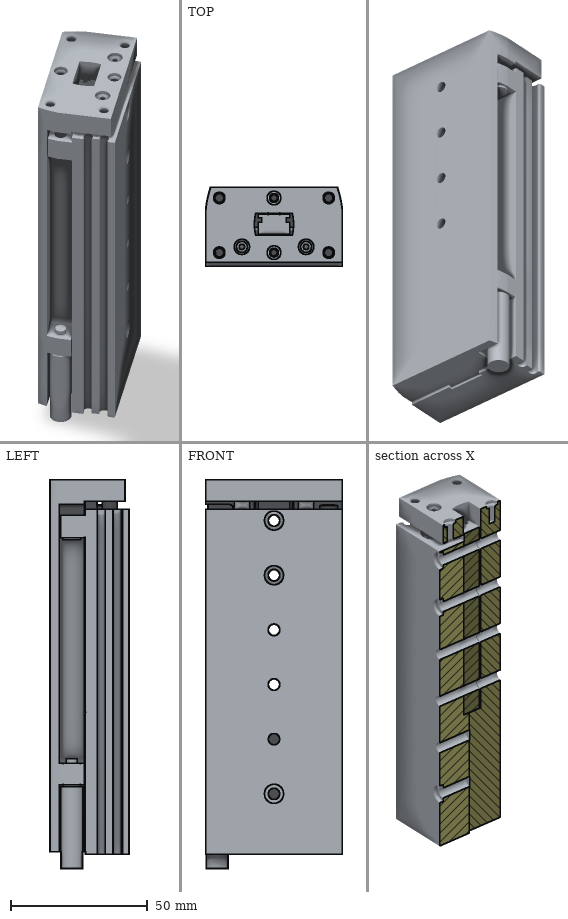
import cadquery as cq
import math


width = 50.0
half_width = width / 2
depth = 29.0
housing_height = 126.4
housing_depth = 16.0
plate_thickness = 8.0
plate_gap = 2.8
plate_bottom = housing_height + plate_gap
table_top = plate_bottom + plate_thickness
table_front = 16.4
table_bottom = 1.0
plate_front = 1.5
running_gap = table_front - housing_depth

corner_start = 21.0
corner_radius = 36.0
back_half_width = 23.2

recess_inner_x = -15.0
recess_back = 25.5
recess_top_fillet = 1.3
recess_bottom_fillet = 1.9
recess_top = table_top - 9.1
table_lug_top = 33.3
table_lug_bottom = 25.6
housing_lug_top = housing_height - 2.2
housing_lug_bottom = housing_height - 10.4
lug_hole_diameter = 4.5
lug_hole_depth = 5.0
stop_x = -20.8
stop_y = 21.0
bumper_diameter = 6.6
bumper_height = 0.8
absorber_diameter = 8.0
absorber_neck_diameter = 6.1
absorber_tip_diameter = 4.0
absorber_tip_height = 1.7
absorber_shoulder_gap = 0.8
absorber_bottom = -5.2

rail_half_width = 5.8
rail_front = 11.7
rail_back = 19.0
rail_bottom = 52.0
rail_top = plate_bottom + 0.5
ball_groove_depth = 1.4
ball_groove_front = 16.1
ball_groove_back = 17.7
channel_half_width = 7.2
channel_end_half_width = 6.7
channel_front = 11.3
channel_back = 19.4
relief_floor = 14.3

mount_pitch = 20.0
mount_count = 6
open_mount_count = 4
first_mount_z = housing_height - 4.2
mount_diameter = 4.13
counterbore_diameter = 7.0
counterbore_depth = 1.5
counterbored_mounts = (0, 1, 5)

slot_centres = (4.3, 10.3)
slot_opening = 2.9
slot_lip = 0.9
slot_radius = 1.75
slot_lip_chamfer = 0.6
slot_land_recess = 1.0

stop_screw_x = 20.0
stop_screw_y = 12.0
stop_screw_diameter = 6.6
stop_screw_height = 1.6
stop_screw_dome_height = 0.35
stop_screw_dome_run = 1.6

rod_x = 11.75
rod_y = 7.1
rod_diameter = 5.6
rod_depth_in_housing = 40.0
rod_neck_diameter = 4.0
rod_counterbore_depth = 1.2
rod_socket_diameter = 2.0
rod_socket_depth = 1.5
rod_recess_diameter = 10.0
rod_recess_depth = 4.0

plate_hole_rows = (5.0, 25.0)
corner_hole_x = 20.0
corner_hole_diameter = 3.24
corner_hole_mouth = 4.13
centre_hole_diameter = 2.46
centre_hole_mouth = 3.24
centre_counterbore_diameter = 5.0
centre_counterbore_depth = 1.2


def box(x_min, x_max, y_min, y_max, z_min, z_max):
    """Axis-aligned block between two opposite corners."""
    block = cq.Workplane("XY").box(x_max - x_min, y_max - y_min, z_max - z_min, centered=False)
    return block.translate((x_min, y_min, z_min))


def post(x, y, diameter, z_min, z_max):
    """Vertical cylinder between two heights."""
    return cq.Workplane("XY", origin=(x, y, z_min)).circle(diameter / 2).extrude(z_max - z_min)


def rounded_outline(y_front, z_min, z_max):
    """Block of full width whose back corners curve in towards the back face."""
    return (
        cq.Workplane("XY", origin=(0, 0, z_min))
        .moveTo(-half_width, y_front)
        .lineTo(half_width, y_front)
        .lineTo(half_width, corner_start)
        .radiusArc((back_half_width, depth), -corner_radius)
        .lineTo(-back_half_width, depth)
        .radiusArc((-half_width, corner_start), -corner_radius)
        .close()
        .extrude(z_max - z_min)
    )


def mount_holes(indices, diameter, y_min, y_max):
    """Cylinders along Y at the chosen mounting positions."""
    points = [(0, first_mount_z - i * mount_pitch) for i in indices]
    plane = cq.Workplane("XZ", origin=(0, y_min, 0))
    return plane.pushPoints(points).circle(diameter / 2).extrude(y_min - y_max)


def threaded_hole(x, y, diameter, mouth_diameter, z_mouth, z_end):
    """Vertical hole with a 45 degree countersink at its mouth."""
    countersink = (
        cq.Workplane("XY", origin=(x, y, z_mouth))
        .circle(mouth_diameter / 2)
        .workplane(offset=-(mouth_diameter - diameter) / 2)
        .circle(diameter / 2)
        .loft()
    )
    return post(x, y, diameter, z_end, z_mouth).union(countersink)


def make_rail():
    rail = box(-rail_half_width, rail_half_width, rail_front, rail_back, rail_bottom, rail_top)
    for x in (-rail_half_width, rail_half_width - ball_groove_depth):
        rail = rail.cut(
            box(x, x + ball_groove_depth, ball_groove_front, ball_groove_back, rail_bottom, rail_top)
        )
    return rail.cut(mount_holes(range(open_mount_count), mount_diameter, rail_front, rail_back))


def sensor_slot(y):
    """Round slot along Z that opens through the left side, with one chamfered lip."""
    half_opening = slot_opening / 2
    centre_x = -half_width + slot_lip + math.sqrt(slot_radius**2 - half_opening**2)
    bore = post(centre_x, y, 2 * slot_radius, 0, housing_height)
    opening = box(-half_width, centre_x, y - half_opening, y + half_opening, 0, housing_height)
    lip = (
        cq.Workplane("XY")
        .moveTo(-half_width, y - half_opening)
        .lineTo(-half_width, y - half_opening - slot_lip_chamfer)
        .lineTo(-half_width + slot_lip_chamfer, y - half_opening)
        .close()
        .extrude(housing_height)
    )
    return bore.union(opening).union(lip)


def tongue_space(z_min, z_max):
    """Shallow central strip at the back of the housing, filled by the table below the rail."""
    return box(-channel_half_width, channel_half_width, relief_floor, table_front, z_min, z_max)


def make_housing():
    housing = box(-half_width, half_width, 0, housing_depth, 0, housing_height)
    lug = rounded_outline(housing_depth, housing_lug_bottom, housing_lug_top).intersect(
        box(-half_width, recess_inner_x - running_gap, 0, recess_back - running_gap, 0, table_top)
    )
    bumper = post(
        stop_x, stop_y, bumper_diameter, housing_lug_bottom - bumper_height, housing_lug_bottom
    )
    stop_screw = (
        post(
            stop_screw_x,
            stop_screw_y,
            stop_screw_diameter,
            housing_height,
            housing_height + stop_screw_height,
        )
        .faces(">Z")
        .chamfer(stop_screw_dome_height, stop_screw_dome_run)
    )
    lug_hole_floor = housing_lug_top - lug_hole_depth
    housing = housing.union(lug).union(bumper).union(stop_screw)
    housing = housing.cut(post(stop_x, stop_y, lug_hole_diameter, lug_hole_floor, housing_lug_top))

    land_x = -half_width + slot_land_recess
    front_slot_y, back_slot_y = slot_centres
    housing = housing.cut(box(-half_width, land_x, front_slot_y, back_slot_y, 0, housing_height))
    for y in slot_centres:
        housing = housing.cut(sensor_slot(y))
    housing = housing.cut(tongue_space(0, housing_height))
    housing = housing.cut(
        box(-rail_half_width, rail_half_width, rail_front, relief_floor, rail_bottom, housing_height)
    )
    housing = housing.cut(mount_holes(range(mount_count), mount_diameter, 0, housing_depth))
    housing = housing.cut(mount_holes(counterbored_mounts, counterbore_diameter, 0, counterbore_depth))
    for x in (-rod_x, rod_x):
        housing = housing.cut(
            post(x, rod_y, rod_diameter, housing_height - rod_depth_in_housing, housing_height)
        )
        housing = housing.cut(
            post(x, rod_y, rod_recess_diameter, housing_height - rod_recess_depth, housing_height)
        )
    return housing


def side_recess(z_min, z_max):
    """Pocket in the left side of the table, open to the front."""
    return box(-half_width, recess_inner_x, table_front, recess_back, z_min, z_max)


def make_table():
    table = rounded_outline(plate_front, plate_bottom, table_top).union(
        rounded_outline(table_front, table_bottom, plate_bottom)
    )
    table = table.union(tongue_space(table_bottom, rail_bottom))
    stroke_recess = (
        side_recess(table_lug_top, recess_top)
        .edges("|Y and >X and >Z")
        .fillet(recess_top_fillet)
        .edges("|Y and >X and <Z")
        .fillet(recess_bottom_fillet)
    )
    table = table.cut(stroke_recess).cut(side_recess(table_bottom, table_lug_bottom))

    middle_y = (channel_front + channel_back) / 2
    channel = (
        cq.Workplane("XY", origin=(0, 0, rail_bottom))
        .moveTo(-channel_end_half_width, channel_front)
        .lineTo(channel_end_half_width, channel_front)
        .threePointArc((channel_half_width, middle_y), (channel_end_half_width, channel_back))
        .lineTo(-channel_end_half_width, channel_back)
        .threePointArc((-channel_half_width, middle_y), (-channel_end_half_width, channel_front))
        .close()
        .extrude(table_top - rail_bottom)
    )
    table = table.cut(channel)
    table = table.cut(mount_holes(range(open_mount_count), mount_diameter, table_front, depth))

    for y in plate_hole_rows:
        for x in (-corner_hole_x, corner_hole_x):
            table = table.cut(
                threaded_hole(x, y, corner_hole_diameter, corner_hole_mouth, table_top, plate_bottom)
            )
        floor = table_top - centre_counterbore_depth
        table = table.cut(post(0, y, centre_counterbore_diameter, floor, table_top))
        table = table.cut(
            threaded_hole(0, y, centre_hole_diameter, centre_hole_mouth, floor, plate_bottom)
        )

    for x in (-rod_x, rod_x):
        table = table.cut(post(x, rod_y, rod_neck_diameter, plate_bottom, table_top))
        table = table.cut(
            post(x, rod_y, rod_diameter, table_top - rod_counterbore_depth, table_top)
        )
    return table.cut(post(stop_x, stop_y, absorber_neck_diameter, table_lug_bottom, table_lug_top))


def make_absorber():
    shoulder = table_lug_bottom - absorber_shoulder_gap
    body = post(stop_x, stop_y, absorber_diameter, absorber_bottom, shoulder)
    neck = post(stop_x, stop_y, absorber_neck_diameter, shoulder, table_lug_top)
    tip = post(
        stop_x, stop_y, absorber_tip_diameter, table_lug_top, table_lug_top + absorber_tip_height
    )
    return body.union(neck).union(tip)


def make_rod(x):
    neck_top = table_top - rod_counterbore_depth
    rod = post(x, rod_y, rod_diameter, housing_height - rod_depth_in_housing, plate_bottom)
    rod = rod.union(post(x, rod_y, rod_neck_diameter, plate_bottom, neck_top))
    return rod.cut(post(x, rod_y, rod_socket_diameter, neck_top - rod_socket_depth, neck_top))


housing = make_housing()
table = make_table()
rail = make_rail()
absorber = make_absorber()
rods = [make_rod(x) for x in (-rod_x, rod_x)]

result = cq.Compound.makeCompound(
    [housing.val(), table.val(), rail.val(), absorber.val(), *[rod.val() for rod in rods]]
)